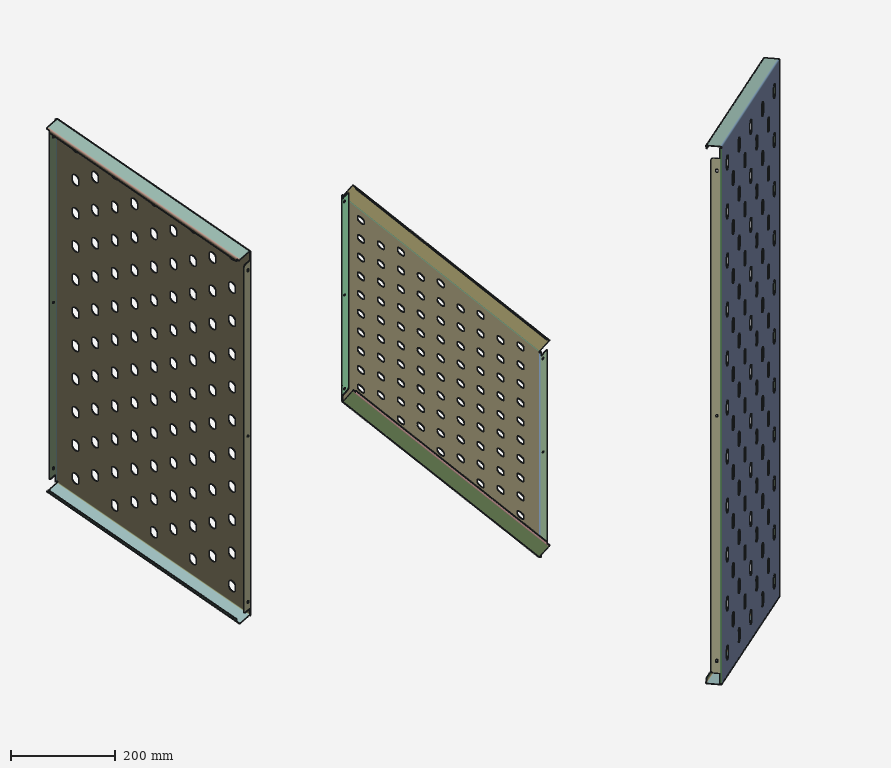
import cadquery as cq

width = 498.0
depth = 33.0
height = 1098.0
sheet = 1.5

inner_radius = sheet
outer_radius = inner_radius + sheet

side_depth = 22.0
side_end_gap = 24.0
rim_depth = 4.0
side_corner_radius = 5.0

end_inset = 3.0
lip_height = 10.0
lip_inset = 10.0

slot_width = 16.0
slot_length = 30.0
slot_pitch = 100.0
main_columns = 5
main_rows = 11

hole_width = 4.0
hole_length = 7.0
hole_offset = 500.0
hole_setback = 10.0

half_height = height / 2
back = depth / 2
front = -depth / 2


def block(x_size, y_min, y_max, z_min, z_max):
    """Box centred on X between the given Y and Z limits."""
    corner = (-x_size / 2, y_min, z_min)
    return cq.Workplane("XY").box(x_size, y_max - y_min, z_max - z_min, centered=False).translate(corner)


def side_pan():
    """Back panel and two side flanges; a shallow rim runs past the flange ends."""
    bend_end = half_height - outer_radius
    flange_end = half_height - side_end_gap
    flange_front = back - side_depth
    flange_back = back - rim_depth
    solid = block(width, flange_back, back, -bend_end, bend_end)
    solid = solid.edges("|Z and >Y").fillet(outer_radius)
    flats = block(width, flange_front, flange_back, -flange_end, flange_end)
    flats = flats.edges("|X and <Y").fillet(side_corner_radius)
    cavity = block(width - 2 * sheet, flange_front, back - sheet, -bend_end, bend_end)
    cavity = cavity.edges("|Z and >Y").fillet(inner_radius)
    return solid.union(flats).cut(cavity)


def end_pan():
    """Back panel and its top and bottom flanges, each ending in a shorter return lip."""
    x_size = width - 2 * end_inset
    solid = block(x_size, front, back, -half_height, half_height).edges("|X").fillet(outer_radius)
    cavity = block(x_size, front + sheet, back - sheet, -half_height + sheet, half_height - sheet)
    cavity = cavity.edges("|X").fillet(inner_radius)
    lip_edge = half_height - lip_height
    opening = block(x_size, front, front + sheet, -lip_edge, lip_edge)
    bend_end = half_height - outer_radius
    lip_zone = block(x_size, front, front + sheet, -bend_end, bend_end)
    kept_lip = block(width - 2 * lip_inset, front, front + sheet, -bend_end, bend_end)
    return solid.cut(cavity).cut(opening).cut(lip_zone.cut(kept_lip))


def slot_grid(columns, rows):
    """Upright slot cutters on a centred grid."""
    return (
        cq.Workplane("XZ", origin=(0, depth, 0))
        .rarray(slot_pitch, slot_pitch, columns, rows)
        .slot2D(slot_length, slot_width, 90)
        .extrude(2 * depth)
    )


def mounting_holes():
    """A round hole at mid-height and a slot near each end, through both side flanges."""
    plane = cq.Workplane("YZ", origin=(-width, back - hole_setback, 0))
    round_hole = plane.circle(hole_width / 2).extrude(2 * width)
    slots = (
        plane.pushPoints([(0, -hole_offset), (0, hole_offset)])
        .slot2D(hole_length, hole_width, 90)
        .extrude(2 * width)
    )
    return round_hole.union(slots)


result = (
    side_pan()
    .union(end_pan())
    .cut(slot_grid(main_columns, main_rows))
    .cut(slot_grid(main_columns - 1, main_rows - 1))
    .cut(mounting_holes())
)